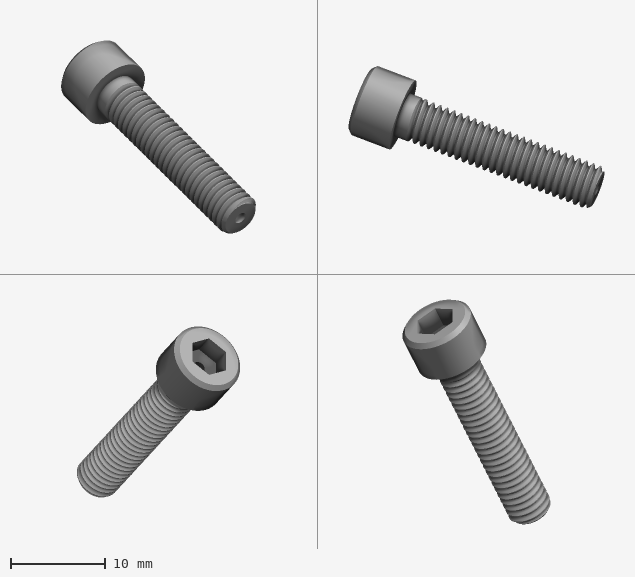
import cadquery as cq
import math

INCH = 25.4

TOTAL_LENGTH = 27.0
SHANK_LENGTH = 0.875 * INCH

HEAD_DIAMETER = 7.81
HEAD_LENGTH = TOTAL_LENGTH - SHANK_LENGTH
HEAD_CHAMFER = 0.46

SOCKET_ACROSS_FLATS = 5 / 32 * INCH
SOCKET_DEPTH = HEAD_LENGTH / 2
BORE_DIAMETER = 1.34

SHANK_RADIUS = 0.19 * INCH / 2
END_CHAMFER = 0.45
TIP_ALLOWANCE = 3.0

PITCH = INCH / 32
FLANK_HALF_ANGLE = math.radians(30)
CREST_WIDTH = PITCH / 8
DEPTH_TO_PITCH = 0.6134
THREAD_DEPTH = DEPTH_TO_PITCH * PITCH
ROOT_RADIUS = SHANK_RADIUS - THREAD_DEPTH
ROOT_WIDTH = PITCH - CREST_WIDTH - 2 * THREAD_DEPTH * math.tan(FLANK_HALF_ANGLE)
CUT_CLEARANCE = 0.04

LAST_CREST_TO_TIP = 0.385
TURNS_TO_LAST_CREST = 25.5
TURNS_PAST_LAST_CREST = 1.5
GROOVE_TURNS = TURNS_TO_LAST_CREST + TURNS_PAST_LAST_CREST
GROOVE_START = TOTAL_LENGTH - LAST_CREST_TO_TIP - TURNS_TO_LAST_CREST * PITCH

RUN_IN_TURNS = 1 / 3
RUN_IN_STEPS = 8


def make_head():
    """Cylindrical head, chamfered around its outer face."""
    head = cq.Workplane("YZ").circle(HEAD_DIAMETER / 2).extrude(HEAD_LENGTH)
    return head.faces("<X").chamfer(HEAD_CHAMFER)


def make_rod(length):
    """Round rod of the shank diameter, starting below the head."""
    return cq.Workplane("YZ").workplane(offset=HEAD_LENGTH).circle(SHANK_RADIUS).extrude(length)


def groove_section(depth):
    """Groove outline in the XZ plane, centred on Z = 0 and opening outwards along X."""
    root_radius = SHANK_RADIUS - depth
    mouth_radius = SHANK_RADIUS + CUT_CLEARANCE
    root_half = ROOT_WIDTH / 2
    mouth_half = root_half + (mouth_radius - root_radius) * math.tan(FLANK_HALF_ANGLE)
    return cq.Wire.makePolygon([
        cq.Vector(root_radius, 0, -root_half),
        cq.Vector(mouth_radius, 0, -mouth_half),
        cq.Vector(mouth_radius, 0, mouth_half),
        cq.Vector(root_radius, 0, root_half),
    ], close=True)


def make_full_groove():
    """Full-depth helical groove about Z, starting at angle 0 and Z = 0."""
    path = cq.Wire.makeHelix(PITCH, GROOVE_TURNS * PITCH, ROOT_RADIUS)
    return cq.Solid.sweep(groove_section(THREAD_DEPTH), [], path, isFrenet=True)


def make_run_in():
    """Deepening groove about Z that ends where the full-depth groove starts."""
    sections = []
    for index in range(RUN_IN_STEPS + 1):
        share = index / RUN_IN_STEPS
        turns = (share - 1) * RUN_IN_TURNS
        section = groove_section(share * THREAD_DEPTH)
        section = section.rotate(cq.Vector(0, 0, 0), cq.Vector(0, 0, 1), 360 * turns)
        sections.append(section.translate(cq.Vector(0, 0, turns * PITCH)))
    return cq.Solid.makeLoft(sections)


def place_on_screw(groove):
    """Turn the groove axis from Z to X, full depth starting on the +Z side."""
    along_x = cq.Workplane(groove).rotate((0, 0, 0), (0, 1, 0), 90)
    right_way_up = along_x.rotate((0, 0, 0), (1, 0, 0), 180)
    return right_way_up.translate((GROOVE_START, 0, 0))


def make_socket():
    """Hexagon socket with corners towards +Z and -Z."""
    corner_diameter = SOCKET_ACROSS_FLATS / math.cos(math.pi / 6)
    socket = cq.Workplane("YZ").polygon(6, corner_diameter).extrude(SOCKET_DEPTH)
    return socket.rotate((0, 0, 0), (1, 0, 0), 90)


def make_shank():
    """Threaded shank: an overlong rod is grooved, then trimmed to length and chamfered."""
    threaded_rod = make_rod(SHANK_LENGTH + TIP_ALLOWANCE)
    for groove in (make_full_groove(), make_run_in()):
        threaded_rod = threaded_rod.cut(place_on_screw(groove))
    envelope = make_rod(SHANK_LENGTH).faces(">X").chamfer(END_CHAMFER)
    return threaded_rod.intersect(envelope)


def make_bore():
    """Round bore through the whole screw."""
    return cq.Workplane("YZ").circle(BORE_DIAMETER / 2).extrude(TOTAL_LENGTH)


screw = make_head().union(make_shank()).cut(make_socket()).cut(make_bore())
result = cq.Workplane(screw.solids().val())